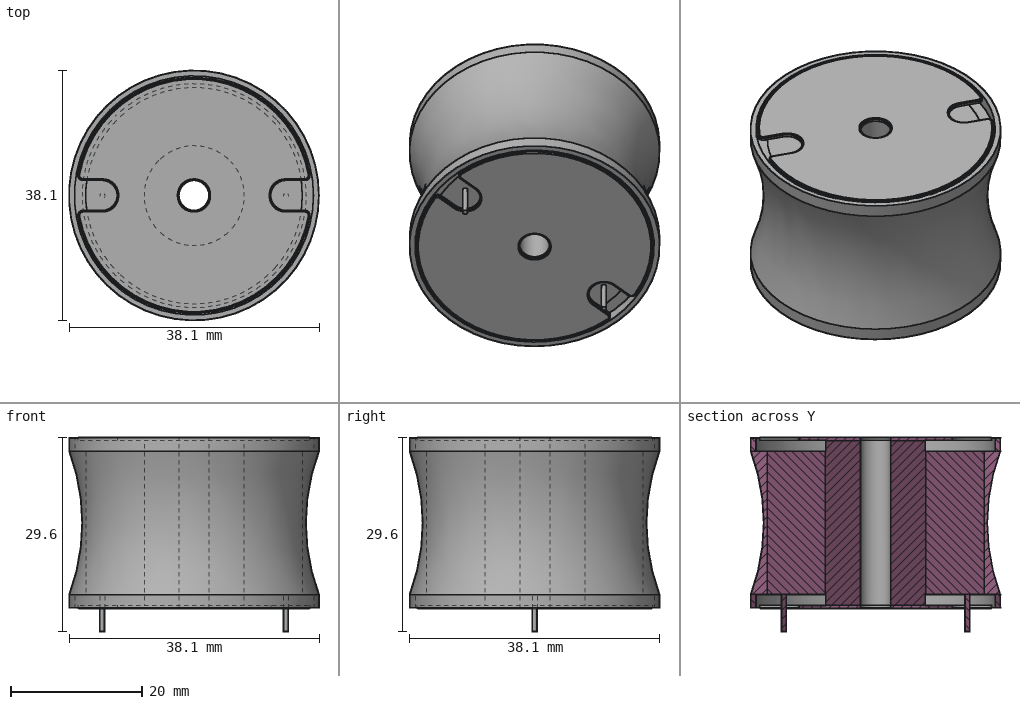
import cadquery as cq

total_height = 29.65
pin_length_below = 3.5
outer_radius = 19.05
ring_inner_radius = 18.2
ring_height = 2.02
waist_radius = 17.05
winding_radius = 16.5
bore_radius = 2.3
core_radius = 7.62
cover_radius = 17.95
cover_thickness = 0.5
cover_protrusion = 0.1
cover_chamfer_width = 0.23
cover_chamfer_depth = 0.1
slot_half_width = 2.3
slot_corner_radius = 0.75
pin_offset = 14.0
pin_radius = 0.4

body_half_height = (total_height - pin_length_below) / 2
ring_outer_z = body_half_height - cover_protrusion
winding_half_height = ring_outer_z - ring_height
cover_inner_z = body_half_height - cover_thickness


def tube(outer, inner, bottom, height):
    """Hollow cylinder around the Z axis."""
    return cq.Workplane("XY", origin=(0, 0, bottom)).circle(outer).circle(inner).extrude(height)


def make_sleeve():
    """Wrap around the winding, with a concave outer face."""
    return (
        cq.Workplane("XZ")
        .moveTo(winding_radius, -winding_half_height)
        .lineTo(outer_radius, -winding_half_height)
        .threePointArc((waist_radius, 0), (outer_radius, winding_half_height))
        .lineTo(winding_radius, winding_half_height)
        .close()
        .revolve(360, (0, 0, 0), (0, 1, 0))
    )


def make_winding():
    return tube(winding_radius, core_radius, -winding_half_height, 2 * winding_half_height)


def make_core():
    """Tubular post that carries a cover on each end."""
    return tube(core_radius, bore_radius, -cover_inner_z, 2 * cover_inner_z)


def make_ring():
    """Upper end ring, standing on the sleeve."""
    return tube(outer_radius, ring_inner_radius, winding_half_height, ring_height)


def make_cover():
    """Upper cover: a disc with a central hole and two round-ended slots open at the rim."""
    cover = tube(cover_radius, bore_radius, cover_inner_z, cover_thickness)
    slot_plane = cq.Workplane("XY", origin=(0, 0, cover_inner_z))
    for side in (-1, 1):
        slot_end = slot_plane.center(side * pin_offset, 0).circle(slot_half_width).extrude(cover_thickness)
        slot_mouth = (
            slot_plane.center(side * (pin_offset + outer_radius) / 2, 0)
            .rect(outer_radius - pin_offset, 2 * slot_half_width)
            .extrude(cover_thickness)
        )
        cover = cover.cut(slot_end).cut(slot_mouth)
    rim_corners = [
        edge
        for edge in cover.edges("|Z").vals()
        if abs(edge.Center().x) > pin_offset + slot_half_width
    ]
    cover = cover.newObject(rim_corners).fillet(slot_corner_radius)
    return cover.faces(">Z").edges().chamfer(cover_chamfer_width, cover_chamfer_depth)


def make_pin(side):
    """Terminal pin, from the winding down through the slot of the lower cover."""
    pin_bottom = -body_half_height - pin_length_below
    return (
        cq.Workplane("XY", origin=(side * pin_offset, 0, pin_bottom))
        .circle(pin_radius)
        .extrude(-winding_half_height - pin_bottom)
    )


sleeve = make_sleeve()
winding = make_winding()
core = make_core()
upper_ring = make_ring()
upper_cover = make_cover()

bodies = [sleeve.val(), winding.val(), core.val()]

for turn in (0, 180):
    for end_part in (upper_ring, upper_cover):
        bodies.append(end_part.rotate((0, 0, 0), (1, 0, 0), turn).val())

for side in (-1, 1):
    bodies.append(make_pin(side).val())

result = cq.Compound.makeCompound(bodies)